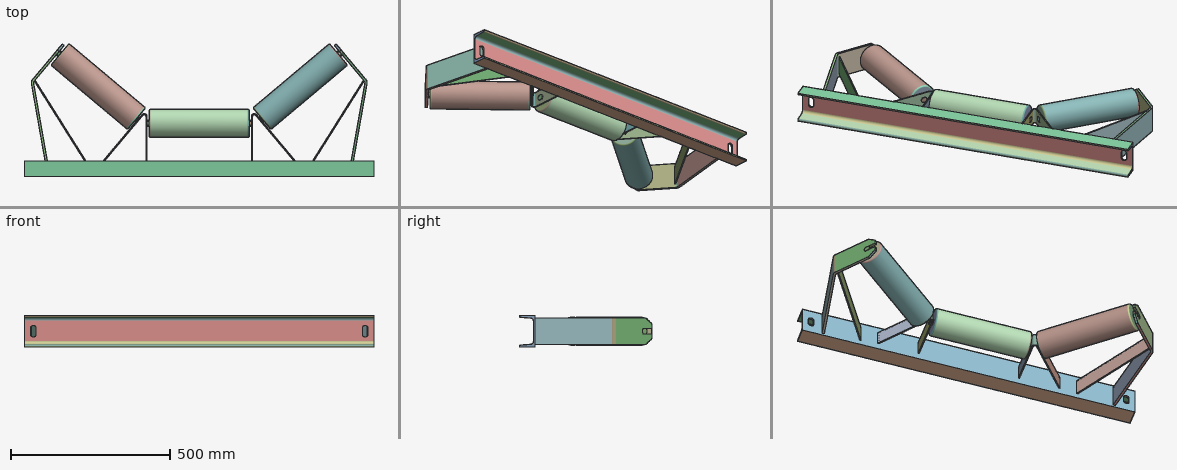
import cadquery as cq
import math


CHANNEL_LENGTH = 1100.0
CHANNEL_HEIGHT = 100.0
FLANGE_WIDTH = 50.0
WEB_THICKNESS = 6.0
FLANGE_THICKNESS = 8.5
FLANGE_TAPER = 0.08
ROOT_RADIUS = 8.5
TIP_RADIUS = 4.0
MOUNT_SLOT_WIDTH = 18.0
MOUNT_SLOT_LENGTH = 36.0
MOUNT_SLOT_INSET = 29.0

ROLLER_DIAMETER = 89.0
ROLLER_LENGTH = 315.0
ROLLER_EDGE_RADIUS = 4.0
SHAFT_DIAMETER = 20.0
SHAFT_FLATS = 16.0
CENTRE_GAP = 7.0
WING_INNER_GAP = 4.0
WING_OUTER_GAP = 8.0
CENTRE_AXIS_Y = 118.0
TROUGH_ANGLE = 40.0
WING_AXIS_OFFSET = -25.0

INNER_WIDTH = 50.0
INNER_THICKNESS = 4.0
INNER_BEND_RADIUS = 5.0
INNER_FOOT_X = 297.0

OUTER_WIDTH = 84.0
OUTER_THICKNESS = 8.0
OUTER_LEAN = 10.0
OVERALL_HEIGHT = 417.0
OUTER_TOP_Y = OVERALL_HEIGHT - FLANGE_WIDTH
OUTER_BEND_Y = 250.0
OUTER_BEND_RADIUS = 8.0
OUTER_CORNER_WIDTH = 19.0
OUTER_CORNER_HEIGHT = 24.0

BRACE_WIDTH = 60.0
BRACE_THICKNESS = 4.0
BRACE_FOOT_X = 359.0
BRACE_ANGLE = 57.8

COS_T = math.cos(math.radians(TROUGH_ANGLE))
SIN_T = math.sin(math.radians(TROUGH_ANGLE))

SLOPE_INSIDE = INNER_FOOT_X * COS_T
SLOPE_OUTSIDE = SLOPE_INSIDE + INNER_THICKNESS
WING_CENTRE = SLOPE_OUTSIDE + WING_INNER_GAP + ROLLER_LENGTH / 2
OUTER_INSIDE = WING_CENTRE + ROLLER_LENGTH / 2 + WING_OUTER_GAP
OUTER_OUTSIDE = OUTER_INSIDE + OUTER_THICKNESS

CENTRE_REACH = ROLLER_LENGTH / 2 + CENTRE_GAP + INNER_THICKNESS
WING_INNER_REACH = ROLLER_LENGTH / 2 + WING_INNER_GAP + INNER_THICKNESS
WING_OUTER_REACH = ROLLER_LENGTH / 2 + WING_OUTER_GAP + OUTER_THICKNESS


def on_wing_plane(along, y):
    """XY point at height y on the plane square to the wing axis at a distance along it."""
    return ((along - y * SIN_T) / COS_T, y)


def to_wing(body):
    """Move a body lying along X at the origin onto the right-hand wing roller axis."""
    x = WING_CENTRE * COS_T - WING_AXIS_OFFSET * SIN_T
    y = WING_CENTRE * SIN_T + WING_AXIS_OFFSET * COS_T
    return body.rotate((0, 0, 0), (0, 0, 1), TROUGH_ANGLE).translate((x, y, 0))


def to_centre(body):
    """Move a body lying along X at the origin onto the centre roller axis."""
    return body.translate((0, CENTRE_AXIS_Y, 0))


def plate(outline, width):
    """Flat or bent strip: an XY outline extruded evenly to both sides of Z = 0."""
    return cq.Workplane("XY").polyline(outline).close().extrude(width / 2, both=True)


def edge_at(x, y, z):
    """Selector for the edge whose middle is at the given point."""
    reach = 0.1
    return cq.selectors.BoxSelector(
        (x - reach, y - reach, z - reach), (x + reach, y + reach, z + reach)
    )


def round_bend(strip, inside, outside, inside_radius, thickness):
    """Round both corners of a bent strip about the same centre."""
    strip = strip.edges(edge_at(*inside, 0)).fillet(inside_radius)
    return strip.edges(edge_at(*outside, 0)).fillet(inside_radius + thickness)


def make_channel():
    half = CHANNEL_HEIGHT / 2
    tip_z = half - FLANGE_THICKNESS + FLANGE_TAPER * FLANGE_WIDTH / 2
    root_z = tip_z - FLANGE_TAPER * (FLANGE_WIDTH - WEB_THICKNESS)
    section = [
        (0, -half),
        (-FLANGE_WIDTH, -half),
        (-FLANGE_WIDTH, -tip_z),
        (-WEB_THICKNESS, -root_z),
        (-WEB_THICKNESS, root_z),
        (-FLANGE_WIDTH, tip_z),
        (-FLANGE_WIDTH, half),
        (0, half),
    ]
    channel = cq.Workplane("YZ").polyline(section).close().extrude(CHANNEL_LENGTH / 2, both=True)
    for side in (-1, 1):
        channel = channel.edges(edge_at(0, -WEB_THICKNESS, side * root_z)).fillet(ROOT_RADIUS)
        channel = channel.edges(edge_at(0, -FLANGE_WIDTH, side * tip_z)).fillet(TIP_RADIUS)
    slot_x = CHANNEL_LENGTH / 2 - MOUNT_SLOT_INSET
    slots = (
        cq.Workplane("XZ")
        .pushPoints([(-slot_x, 0), (slot_x, 0)])
        .slot2D(MOUNT_SLOT_LENGTH, MOUNT_SLOT_WIDTH, 90)
        .extrude(WEB_THICKNESS)
    )
    return channel.cut(slots)


def make_shaft(inner_reach, outer_reach):
    """Shaft along X with two flats facing +Z and -Z, from -inner_reach to outer_reach."""
    start = cq.Workplane("YZ", origin=(-inner_reach, 0, 0))
    length = inner_reach + outer_reach
    bar = start.circle(SHAFT_DIAMETER / 2).extrude(length)
    return bar.intersect(start.rect(SHAFT_DIAMETER, SHAFT_FLATS).extrude(length))


def make_roller(inner_reach, outer_reach):
    """Roller along X, centred on the origin, in one piece with its shaft."""
    barrel = (
        cq.Workplane("YZ", origin=(-ROLLER_LENGTH / 2, 0, 0))
        .circle(ROLLER_DIAMETER / 2)
        .extrude(ROLLER_LENGTH)
        .faces("<X or >X")
        .edges()
        .fillet(ROLLER_EDGE_RADIUS)
    )
    return barrel.union(make_shaft(inner_reach, outer_reach))


def make_inner_bracket():
    upright_outside = ROLLER_LENGTH / 2 + CENTRE_GAP
    upright_inside = upright_outside + INNER_THICKNESS
    outside_bend = (upright_outside, (SLOPE_OUTSIDE - upright_outside * COS_T) / SIN_T)
    inside_bend = (upright_inside, (SLOPE_INSIDE - upright_inside * COS_T) / SIN_T)
    outline = [
        (upright_outside, 0),
        outside_bend,
        on_wing_plane(SLOPE_OUTSIDE, 0),
        on_wing_plane(SLOPE_INSIDE, 0),
        inside_bend,
        (upright_inside, 0),
    ]
    bracket = plate(outline, INNER_WIDTH)
    bracket = round_bend(bracket, inside_bend, outside_bend, INNER_BEND_RADIUS, INNER_THICKNESS)
    bracket = bracket.cut(to_centre(make_shaft(CENTRE_REACH, CENTRE_REACH)))
    return bracket.cut(to_wing(make_shaft(WING_INNER_REACH, WING_OUTER_REACH)))


def make_outer_bracket():
    lean = math.tan(math.radians(OUTER_LEAN))
    outside_bend = on_wing_plane(OUTER_OUTSIDE, OUTER_BEND_Y)
    foot_outside = outside_bend[0] - OUTER_BEND_Y * lean
    foot_inside = foot_outside - OUTER_THICKNESS / math.cos(math.radians(OUTER_LEAN))
    inside_bend_y = (OUTER_INSIDE - foot_inside * COS_T) / (SIN_T + lean * COS_T)
    inside_bend = (foot_inside + inside_bend_y * lean, inside_bend_y)
    top_outside = on_wing_plane(OUTER_OUTSIDE, OUTER_TOP_Y)
    top_inside = on_wing_plane(OUTER_INSIDE, OUTER_TOP_Y - OUTER_THICKNESS * SIN_T)
    outline = [
        (foot_outside, 0),
        outside_bend,
        top_outside,
        top_inside,
        inside_bend,
        (foot_inside, 0),
    ]
    bracket = plate(outline, OUTER_WIDTH)
    bracket = round_bend(bracket, inside_bend, outside_bend, OUTER_BEND_RADIUS, OUTER_THICKNESS)
    bracket = bracket.cut(to_wing(make_top_corners()))
    bracket = bracket.cut(to_wing(make_shaft_slot()))
    return bracket.cut(to_wing(make_shaft(WING_INNER_REACH, WING_OUTER_REACH)))


def make_top_corners():
    """Cutter for the two top corners of an outer bracket, placed as for a roller along X."""
    top = (OUTER_TOP_Y - OUTER_OUTSIDE * SIN_T) / COS_T - WING_AXIS_OFFSET
    edge = OUTER_WIDTH / 2
    corners = cq.Workplane("YZ", origin=(WING_OUTER_REACH - OUTER_THICKNESS, 0, 0))
    for side in (-1, 1):
        corners = corners.polyline([
            (top, side * (edge - OUTER_CORNER_WIDTH)),
            (top, side * edge),
            (top - OUTER_CORNER_HEIGHT, side * edge),
        ]).close()
    return corners.extrude(OUTER_THICKNESS)


def make_shaft_slot():
    """Cutter for the slot that opens the shaft hole to the bracket top."""
    height = ROLLER_DIAMETER
    return (
        cq.Workplane("YZ", origin=(WING_OUTER_REACH - OUTER_THICKNESS, 0, 0))
        .center(height / 2, 0)
        .rect(height, SHAFT_FLATS)
        .extrude(OUTER_THICKNESS)
    )


def make_brace():
    angle = math.radians(BRACE_ANGLE)
    run = 1 / math.tan(angle)
    half_foot = BRACE_THICKNESS / math.sin(angle) / 2
    left_foot = BRACE_FOOT_X - half_foot
    right_foot = BRACE_FOOT_X + half_foot

    def top_point(foot_x):
        """Where the brace face rising from foot_x meets the inside of the outer bracket."""
        y = (OUTER_INSIDE - foot_x * COS_T) / (SIN_T + run * COS_T)
        return (foot_x + run * y, y)

    outline = [(left_foot, 0), top_point(left_foot), top_point(right_foot), (right_foot, 0)]
    return plate(outline, BRACE_WIDTH)


channel = make_channel()
centre_roller = to_centre(make_roller(CENTRE_REACH, CENTRE_REACH))
wing_roller = to_wing(make_roller(WING_INNER_REACH, WING_OUTER_REACH))
inner_bracket = make_inner_bracket()
outer_bracket = make_outer_bracket()
brace = make_brace()

solids = [channel.val(), centre_roller.val()]
for body in (wing_roller, inner_bracket, outer_bracket, brace):
    solids.append(body.val())
    solids.append(body.mirror("YZ").val())

result = cq.Compound.makeCompound(solids)